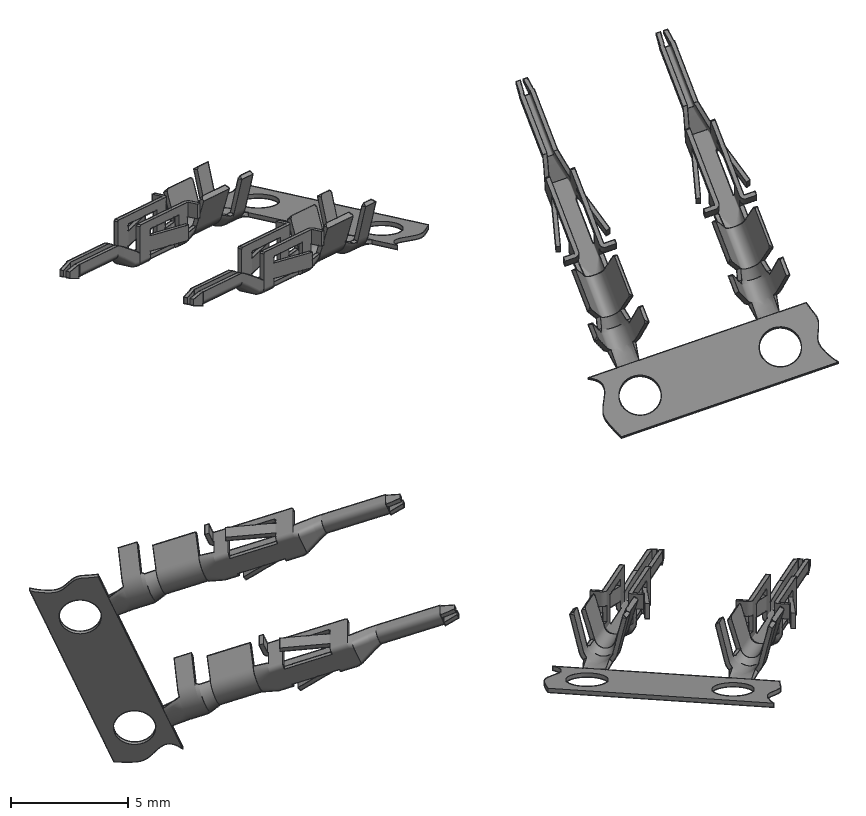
import cadquery as cq
import math


SHEET = 0.2
PITCH = 6.37
STRIP_LENGTH = 2.99
HOLE_DIAMETER = 1.8
LEFT_TEAR = [(-2.1, 0), (-1.74, 0.6), (-1.61, 1.17), (-1.93, 2.13), (-1.82, 2.62), (-1.72, STRIP_LENGTH)]
RIGHT_TEAR = [(8.19, STRIP_LENGTH), (7.7, 2.3), (8.14, 1.2), (8.0, 0.55), (7.77, 0)]

INSULATION_START = 3.72
TRIMMED_INSULATION_START = 3.79
INSULATION_END = 4.58
WIRE_START = 5.22
WIRE_END = 7.18
BOX_START = 7.88
BOX_END = 11.5
RAMP_START = 11.7
RAMP_CREST = 12.35
PIN_START = 12.69
PIN_TIP_START = 15.62
PIN_END = 16.25

INSULATION_RADIUS = 0.86
INSULATION_LEAN = 14
INSULATION_OUTER_TOP = 2.29
INSULATION_TOP = 2.4

RAISED_FLOOR = 0.21
WIRE_RADIUS = 0.65
WIRE_LEAN = 17
WIRE_OUTER_TOP = 2.02
WIRE_TOP = 2.2
ARM_CHAMFER = 0.11

STRIP_NECK_HALF_WIDTH = 0.5
FLAT_NECK_RADIUS = 9.75
STRIP_NECK_LEAN = 42
STEP_START = 4.75
STEP_RADIUS = 0.78
STEP_LEAN = 15
WIRE_NECK_LEAN = 10
REAR_NECK_TOP = 0.81
FRONT_NECK_TOP = 0.7
REAR_NECK_CORNER = 0.58

BOX_HALF_WIDTH = 0.67
BOX_INNER_HALF_WIDTH = BOX_HALF_WIDTH - SHEET
BOX_TOP = 2.1
INNER_BEND_RADIUS = 0.03
BEND_RADIUS = SHEET + INNER_BEND_RADIUS
CORNER_CHAMFER = 0.06
WINDOW_START = 8.53
WINDOW_END = 10.71
WINDOW_TOP = 1.7
WINDOW_BOTTOM = RAISED_FLOOR + SHEET

FLANGE_START = BOX_START - BEND_RADIUS
FLANGE_HALF_WIDTH = 1.17
FLANGE_BOTTOM = 1.43

TANG_BOTTOM = 0.7
TANG_TOP = 1.4
TANG_LENGTH = 2.16
TANG_ANGLE = 15

PIN_HALF_WIDTH = 0.34
PIN_BOTTOM = 0.8
PIN_TOP = 1.45
PIN_BEND_RADIUS = 0.26
RAMP_HALF_WIDTH = 0.6
RAMP_REAR_TOP = 0.85
RAMP_FRONT_TOP = 0.98
CREST_HALF_WIDTH = 0.42
CREST_FLOOR = 0.6
CREST_TOP = 1.32
PRONG_END_BOTTOM = 0.98
PRONG_END_TOP = 1.27
PRONG_ROOT_INNER = 0.13
PRONG_ROOT_OUTER = 0.31
PRONG_END_INNER = 0.06
PRONG_END_OUTER = 0.26


def cross_section(station):
    """Sketch plane across the pin: local x is X, local y is Z, extruding towards the tip."""
    return cq.Workplane("XZ", origin=(0, -station, 0))


def side_plate(points, half_width):
    """Solid from (station, Z) points, extruded evenly to both sides of X = 0."""
    outline = [(-station, z) for station, z in points]
    return cq.Workplane("YZ").polyline(outline).close().extrude(half_width, both=True)


def round_wire(station, radius, floor, lean=0, half_width=None):
    """Arc of sheet, ending at half_width or where its tangent leans `lean` degrees outwards."""
    cos_end = math.cos(math.radians(lean)) if half_width is None else half_width / radius
    sin_end = math.sqrt(1 - cos_end ** 2)
    centre = floor + radius
    inner = radius - SHEET
    return (
        cross_section(station)
        .moveTo(-radius * cos_end, centre - radius * sin_end)
        .threePointArc((0, floor), (radius * cos_end, centre - radius * sin_end))
        .lineTo(inner * cos_end, centre - inner * sin_end)
        .threePointArc((0, floor + SHEET), (-inner * cos_end, centre - inner * sin_end))
        .close()
        .val()
    )


def channel_wire(station, half_width, floor, top, corner):
    """U-shaped strip of sheet with a flat floor, rounded corners and upright walls."""
    inner = half_width - SHEET
    inner_corner = corner - SHEET
    inner_floor = floor + SHEET
    return (
        cross_section(station)
        .moveTo(-half_width, top)
        .lineTo(-half_width, floor + corner)
        .radiusArc((corner - half_width, floor), -corner)
        .lineTo(half_width - corner, floor)
        .radiusArc((half_width, floor + corner), -corner)
        .lineTo(half_width, top)
        .lineTo(inner, top)
        .lineTo(inner, inner_floor + inner_corner)
        .radiusArc((inner - inner_corner, inner_floor), inner_corner)
        .lineTo(inner_corner - inner, inner_floor)
        .radiusArc((-inner, inner_floor + inner_corner), inner_corner)
        .lineTo(-inner, top)
        .close()
        .val()
    )


def loft(*wires):
    return cq.Workplane(obj=cq.Solid.makeLoft(list(wires), True))


def channel(start, end, half_width, floor, top, corner):
    wire = channel_wire(start, half_width, floor, top, corner)
    return cq.Workplane("XZ").add(wire).toPending().extrude(end - start)


def carrier_strip():
    left = [(x, -station) for x, station in LEFT_TEAR]
    right = [(x, -station) for x, station in RIGHT_TEAR]
    plate = (
        cq.Workplane("XY")
        .moveTo(*left[0])
        .spline(left[1:], includeCurrent=True)
        .lineTo(*right[0])
        .spline(right[1:], includeCurrent=True)
        .close()
        .extrude(SHEET)
    )
    holes = (
        cq.Workplane("XY")
        .pushPoints([(0, -STRIP_LENGTH / 2), (PITCH, -STRIP_LENGTH / 2)])
        .circle(HOLE_DIAMETER / 2)
        .extrude(SHEET)
    )
    return plate.cut(holes)


def barrel(start, end, radius, floor, lean, outer_top, top, chamfer_rear):
    """Open crimp barrel with bevelled arm ends, chamfered on the front and optionally the rear."""
    angle = math.radians(lean)
    centre = floor + radius
    inner = radius - SHEET

    def tangent_point(arc_radius):
        return arc_radius * math.cos(angle), centre - arc_radius * math.sin(angle)

    def arm_end(arc_radius, height):
        x, z = tangent_point(arc_radius)
        return x + (height - z) * math.tan(angle), height

    def mirrored(point):
        return -point[0], point[1]

    outer_tangent, inner_tangent = tangent_point(radius), tangent_point(inner)
    outer_end, inner_end = arm_end(radius, outer_top), arm_end(inner, top)
    formed = (
        cross_section(start)
        .moveTo(*mirrored(outer_end))
        .lineTo(*mirrored(outer_tangent))
        .threePointArc((0, floor), outer_tangent)
        .lineTo(*outer_end)
        .lineTo(*inner_end)
        .lineTo(*inner_tangent)
        .threePointArc((0, floor + SHEET), mirrored(inner_tangent))
        .lineTo(*mirrored(inner_end))
        .close()
        .extrude(end - start)
    )
    rear_corner = [(start, top)]
    if chamfer_rear:
        rear_corner = [(start, top - ARM_CHAMFER), (start + ARM_CHAMFER, top)]
    front_corner = [(end - ARM_CHAMFER, top), (end, top - ARM_CHAMFER)]
    blank = side_plate([(start, floor)] + rear_corner + front_corner + [(end, floor)], outer_end[0])
    return formed.intersect(blank)


def necks(insulation_start):
    strip_neck = loft(
        round_wire(STRIP_LENGTH, FLAT_NECK_RADIUS, 0, half_width=STRIP_NECK_HALF_WIDTH),
        round_wire(insulation_start, INSULATION_RADIUS, 0, STRIP_NECK_LEAN),
    )
    barrel_neck = loft(
        round_wire(INSULATION_END, INSULATION_RADIUS, 0, INSULATION_LEAN),
        round_wire(STEP_START, STEP_RADIUS, 0, STEP_LEAN),
        round_wire(WIRE_START, WIRE_RADIUS, RAISED_FLOOR, WIRE_NECK_LEAN),
    )
    box_neck = loft(
        channel_wire(WIRE_END, WIRE_RADIUS, RAISED_FLOOR, REAR_NECK_TOP, REAR_NECK_CORNER),
        channel_wire(BOX_START, BOX_HALF_WIDTH, RAISED_FLOOR, FRONT_NECK_TOP, BEND_RADIUS),
    )
    return strip_neck.union(barrel_neck).union(box_neck)


def box():
    """Open box with a window through both walls, cut right down through the floor bends."""
    shell = channel(BOX_START, BOX_END, BOX_HALF_WIDTH, RAISED_FLOOR, BOX_TOP, BEND_RADIUS)
    shell = shell.faces("<Y").edges(">Z").chamfer(CORNER_CHAMFER)
    window = side_plate(
        [
            (WINDOW_START, WINDOW_BOTTOM),
            (WINDOW_START, WINDOW_TOP),
            (WINDOW_END - CORNER_CHAMFER, WINDOW_TOP),
            (WINDOW_END, WINDOW_TOP - CORNER_CHAMFER),
            (WINDOW_END, WINDOW_BOTTOM),
        ],
        BOX_HALF_WIDTH,
    )
    open_bends = (
        cq.Workplane("XY", origin=(0, -(WINDOW_START + WINDOW_END) / 2, RAISED_FLOOR))
        .pushPoints([(-BOX_HALF_WIDTH, 0), (BOX_HALF_WIDTH, 0)])
        .rect(2 * BEND_RADIUS, WINDOW_END - WINDOW_START)
        .extrude(BEND_RADIUS)
    )
    return shell.cut(window).cut(open_bends)


def flange():
    """Right-hand rear flange, curving out of the box wall."""
    return (
        cq.Workplane("XY", origin=(0, 0, FLANGE_BOTTOM))
        .moveTo(BOX_INNER_HALF_WIDTH, -BOX_START)
        .radiusArc((BOX_INNER_HALF_WIDTH + BEND_RADIUS, -FLANGE_START), BEND_RADIUS)
        .lineTo(FLANGE_HALF_WIDTH, -FLANGE_START)
        .lineTo(FLANGE_HALF_WIDTH, -FLANGE_START - SHEET)
        .lineTo(BOX_HALF_WIDTH, -FLANGE_START - SHEET)
        .lineTo(BOX_HALF_WIDTH, -BOX_START)
        .close()
        .extrude(BOX_TOP - FLANGE_BOTTOM)
    )


def tang():
    """Right-hand locking tang, hinged on the front edge of the window."""
    angle = math.radians(TANG_ANGLE)
    tip_x = BOX_HALF_WIDTH + TANG_LENGTH * math.sin(angle)
    tip_y = -WINDOW_END + TANG_LENGTH * math.cos(angle)
    inner_bend_y = -WINDOW_END + SHEET * math.tan(angle / 2)
    outline = [
        (BOX_HALF_WIDTH, -WINDOW_END),
        (tip_x, tip_y),
        (tip_x - SHEET * math.cos(angle), tip_y + SHEET * math.sin(angle)),
        (BOX_INNER_HALF_WIDTH, inner_bend_y),
        (BOX_INNER_HALF_WIDTH, -WINDOW_END),
    ]
    blank = cq.Workplane("XY", origin=(0, 0, TANG_BOTTOM)).polyline(outline).close()
    return blank.extrude(TANG_TOP - TANG_BOTTOM)


def prong():
    """Right-hand prong of the split tip, tapering in both directions."""
    plan = [
        (PRONG_ROOT_INNER, -PIN_TIP_START),
        (PRONG_ROOT_OUTER, -PIN_TIP_START),
        (PRONG_END_OUTER, -PIN_END),
        (PRONG_END_INNER, -PIN_END),
    ]
    taper = side_plate(
        [
            (PIN_TIP_START, PIN_BOTTOM),
            (PIN_TIP_START, PIN_TOP),
            (PIN_END, PRONG_END_TOP),
            (PIN_END, PRONG_END_BOTTOM),
        ],
        PIN_HALF_WIDTH,
    )
    return cq.Workplane("XY").polyline(plan).close().extrude(PIN_TOP).intersect(taper)


def contact_pin():
    ramp = loft(
        channel_wire(BOX_END, BOX_HALF_WIDTH, RAISED_FLOOR, RAMP_REAR_TOP, BEND_RADIUS),
        channel_wire(RAMP_START, RAMP_HALF_WIDTH, RAISED_FLOOR, RAMP_FRONT_TOP, BEND_RADIUS),
        channel_wire(RAMP_CREST, CREST_HALF_WIDTH, CREST_FLOOR, CREST_TOP, PIN_BEND_RADIUS),
        channel_wire(PIN_START, PIN_HALF_WIDTH, PIN_BOTTOM, PIN_TOP, PIN_BEND_RADIUS),
    )
    shank = channel(PIN_START, PIN_TIP_START, PIN_HALF_WIDTH, PIN_BOTTOM, PIN_TOP, PIN_BEND_RADIUS)
    return ramp.union(shank)


def terminal(insulation_start, chamfer_rear):
    """Complete pin; the insulation arms may start later and be chamfered at the rear as well."""
    insulation_barrel = barrel(
        insulation_start, INSULATION_END, INSULATION_RADIUS, 0, INSULATION_LEAN,
        INSULATION_OUTER_TOP, INSULATION_TOP, chamfer_rear,
    )
    wire_barrel = barrel(
        WIRE_START, WIRE_END, WIRE_RADIUS, RAISED_FLOOR, WIRE_LEAN,
        WIRE_OUTER_TOP, WIRE_TOP, chamfer_rear=True,
    )
    body = insulation_barrel.union(wire_barrel).union(necks(insulation_start))
    body = body.union(box()).union(contact_pin())
    for side_feature in (flange(), tang(), prong()):
        body = body.union(side_feature).union(side_feature.mirror("YZ"))
    return body


first_pin = terminal(INSULATION_START, chamfer_rear=False)
second_pin = terminal(TRIMMED_INSULATION_START, chamfer_rear=True).translate((PITCH, 0, 0))
result = carrier_strip().union(first_pin).union(second_pin)